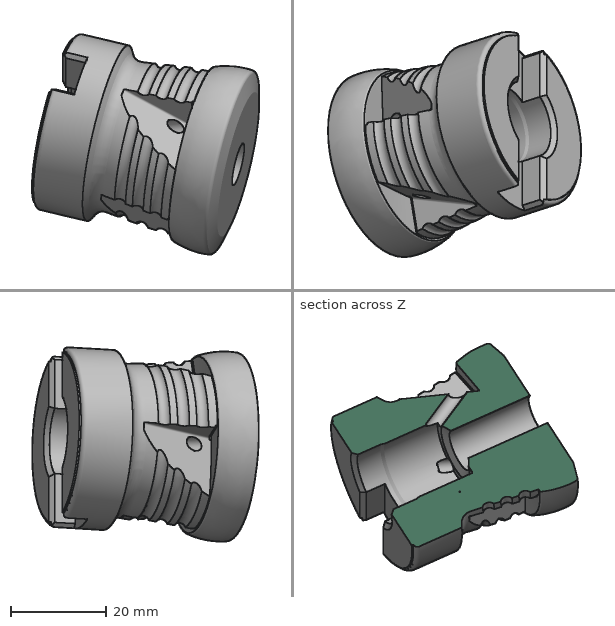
import cadquery as cq
import math

LENGTH = 39.95

FACE_RADIUS = 17.95
FACE_LIP = 0.4
BODY_RADIUS = 38.0 / 2
ROUND_START_RADIUS = 18.17
ROUND_MID_X = 0.7
ROUND_MID_RADIUS = 18.75
ROUND_END_X = 1.4
BODY_END = 11.4

NECK_START_X = 12.4
NECK_START_RADIUS = 17.37
NECK_MID_X = 13.55
NECK_MID_RADIUS = 16.5
NECK_END_X = 15.2

RIM_X = 30.2
CONE_END_RADIUS = 18.1
CONE_SLOPE = 0.122
GROOVE_START_X = 17.75
GROOVE_WIDTH = 2.5
GROOVE_PITCH = 4.05
GROOVE_DEPTH = 0.75
GROOVE_COUNT = 3

RIM_RADIUS = 20.0
RIM_FACE_RADIUS = 18.57
RIM_CORNER_X = 30.65
RIM_CORNER_MID_X = 30.35
RIM_CORNER_MID_RADIUS = 18.8
RIM_CREST_X = 36.63
RIM_CROWN_RADIUS = 17.6
RIM_ROUND_X = 38.1
RIM_BACK_X = 38.83
RIM_BACK_RADIUS = 19.45
END_FACE_RADIUS = 15.6

CHAMFER = 1.0
BORE_RADIUS = 16.3 / 2
BORE_DEPTH = 6.55
INNER_BORE_RADIUS = 15.85 / 2
INNER_BORE_START = 7.3
BORE_FLOOR_X = 20.0
SINK_RADIUS = 6.25
SINK_ANGLE = 30.0
HOLE_RADIUS = 9.0 / 2

SLOT_HALF_WIDTH = 4.15
SLOT_DEPTH = 5.5
SLOT_FLARE_Z = 17.45

POCKET_COUNT = 4
POCKET_LENGTH = 17.7
POCKET_ROOT = (31.2, -0.4, 9.75)
FLOOR_SLOPE_X = 0.385
FLOOR_SLOPE_Y = 0.15
ROOT_SKEW = 0.072
WALL_LEAN = 0.1
ROOT_FILLET = 0.4
UNDERCUT_ANGLE = 7.0
RELIEF_RADIUS = 0.5

FEED_DIAMETER = 3.0
FEED_Y = -2.3
FEED_START_Z = 7.73
FEED_ANGLE = 30.0
FEED_LENGTH = 10.0
FEED_OVERLAP = 2.4

CLEARANCE = 4.0
BIG = 24.0


def cone_radius(x):
    return CONE_END_RADIUS - CONE_SLOPE * (RIM_X - x)


def crown_radius(x):
    rise = math.sqrt(RIM_CROWN_RADIUS**2 - (x - RIM_CREST_X) ** 2)
    return RIM_RADIUS - RIM_CROWN_RADIUS + rise


def turned_body():
    outline = (
        cq.Workplane("XY")
        .moveTo(0, 0)
        .lineTo(0, FACE_RADIUS)
        .lineTo(FACE_LIP, FACE_RADIUS)
        .lineTo(FACE_LIP, ROUND_START_RADIUS)
        .threePointArc((ROUND_MID_X, ROUND_MID_RADIUS), (ROUND_END_X, BODY_RADIUS))
        .lineTo(BODY_END, BODY_RADIUS)
        .lineTo(NECK_START_X, NECK_START_RADIUS)
        .threePointArc((NECK_MID_X, NECK_MID_RADIUS), (NECK_END_X, cone_radius(NECK_END_X)))
    )
    for index in range(GROOVE_COUNT):
        start = GROOVE_START_X + index * GROOVE_PITCH
        middle = start + GROOVE_WIDTH / 2
        end = start + GROOVE_WIDTH
        outline = outline.lineTo(start, cone_radius(start)).threePointArc(
            (middle, cone_radius(middle) - GROOVE_DEPTH), (end, cone_radius(end))
        )
    outline = (
        outline.lineTo(RIM_X, CONE_END_RADIUS)
        .lineTo(RIM_X, RIM_FACE_RADIUS)
        .threePointArc(
            (RIM_CORNER_MID_X, RIM_CORNER_MID_RADIUS),
            (RIM_CORNER_X, crown_radius(RIM_CORNER_X)),
        )
        .threePointArc((RIM_CREST_X, RIM_RADIUS), (RIM_ROUND_X, crown_radius(RIM_ROUND_X)))
        .tangentArcPoint((RIM_BACK_X, RIM_BACK_RADIUS), relative=False)
        .lineTo(LENGTH, END_FACE_RADIUS)
        .lineTo(LENGTH, 0)
        .close()
    )
    return outline.revolve(360, (0, 0, 0), (1, 0, 0))


def bore():
    sink_depth = (SINK_RADIUS - HOLE_RADIUS) * math.tan(math.radians(SINK_ANGLE))
    points = [
        (0, 0),
        (0, BORE_RADIUS + CHAMFER),
        (CHAMFER, BORE_RADIUS),
        (BORE_DEPTH, BORE_RADIUS),
        (INNER_BORE_START, INNER_BORE_RADIUS),
        (BORE_FLOOR_X, INNER_BORE_RADIUS),
        (BORE_FLOOR_X, SINK_RADIUS),
        (BORE_FLOOR_X + sink_depth, HOLE_RADIUS),
        (LENGTH, HOLE_RADIUS),
        (LENGTH, 0),
    ]
    return cq.Workplane("XY").polyline(points).close().revolve(360, (0, 0, 0), (1, 0, 0))


def drive_slot():
    flare = BIG - SLOT_FLARE_Z
    wide = SLOT_HALF_WIDTH + flare
    side = [
        (wide, -BIG),
        (SLOT_HALF_WIDTH, -SLOT_FLARE_Z),
        (SLOT_HALF_WIDTH, SLOT_FLARE_Z),
        (wide, BIG),
    ]
    other_side = [(-y, -z) for y, z in side]
    slot = cq.Workplane("YZ").polyline(side + other_side).close().extrude(SLOT_DEPTH)
    edge = SLOT_HALF_WIDTH + CHAMFER
    chamfers = (
        cq.Workplane("XY")
        .polyline([(0, -edge), (CHAMFER, -SLOT_HALF_WIDTH), (CHAMFER, SLOT_HALF_WIDTH), (0, edge)])
        .close()
        .extrude(BIG, both=True)
    )
    return slot.union(chamfers)


def pocket():
    root = cq.Vector(*POCKET_ROOT)
    root_direction = cq.Vector(1, -ROOT_SKEW, ROOT_SKEW * FLOOR_SLOPE_Y - FLOOR_SLOPE_X).normalized()
    floor_normal = cq.Vector(FLOOR_SLOPE_X, FLOOR_SLOPE_Y, 1).normalized()
    across = floor_normal.cross(root_direction)
    section = cq.Plane(origin=root, xDir=across, normal=root_direction)
    prism = (
        cq.Workplane(section)
        .workplane(offset=-POCKET_LENGTH)
        .polyline([(0, 0), (-BIG, 0), (-BIG, BIG), (-WALL_LEAN * BIG, BIG)])
        .close()
        .extrude(POCKET_LENGTH + CLEARANCE)
    )
    root_middle = root + root_direction * (CLEARANCE - POCKET_LENGTH) / 2
    root_edge = cq.selectors.NearestToPointSelector(root_middle.toTuple())
    prism = prism.edges(root_edge).fillet(ROOT_FILLET)

    undercut = math.tan(math.radians(UNDERCUT_ANGLE))
    end_limit = (
        cq.Workplane("XY")
        .polyline([(0, 0), (0, 2 * BIG), (RIM_X, 2 * BIG), (RIM_X, CONE_END_RADIUS)])
        .lineTo(RIM_X + CONE_END_RADIUS * undercut, 0)
        .close()
        .revolve(360, (0, 0, 0), (1, 0, 0))
    )

    wall_up = floor_normal - across * WALL_LEAN
    end_normal = cq.Vector(1, 0, undercut)
    corner = wall_up - root_direction * (wall_up.dot(end_normal) / root_direction.dot(end_normal))
    relief = cq.Workplane(cq.Plane(origin=root, normal=corner)).circle(RELIEF_RADIUS).extrude(BIG)
    return prism.union(relief).intersect(end_limit)


def feed_hole():
    angle = math.radians(FEED_ANGLE)
    direction = (math.cos(angle), 0, math.sin(angle))
    axis = cq.Plane(origin=(BORE_FLOOR_X, FEED_Y, FEED_START_Z), xDir=(0, 1, 0), normal=direction)
    start = cq.Workplane(axis).workplane(offset=-FEED_OVERLAP)
    return start.circle(FEED_DIAMETER / 2).extrude(FEED_OVERLAP + FEED_LENGTH)


result = turned_body().cut(bore()).cut(drive_slot())
for index in range(POCKET_COUNT):
    turn = index * 360 / POCKET_COUNT
    for cutter in (pocket(), feed_hole()):
        result = result.cut(cutter.rotate((0, 0, 0), (1, 0, 0), turn))